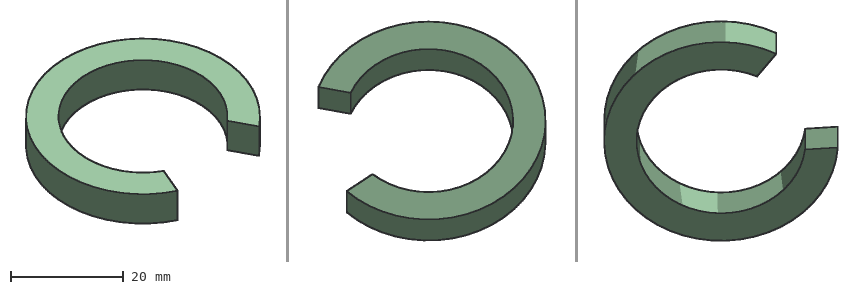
import cadquery as cq
import math

outer_radius = 20.75
inner_radius = 15.0
thickness = 7.0
outer_tip_x = 17.47
end_face_angle = 25.0

outer_tip_y = math.sqrt(outer_radius**2 - outer_tip_x**2)
end_face_slope = math.tan(math.radians(end_face_angle))
apex_x = outer_tip_x - outer_tip_y / end_face_slope

ring = cq.Workplane("XY").circle(outer_radius).circle(inner_radius).extrude(thickness)

wedge_end_x = 2 * outer_radius
wedge_half_width = (wedge_end_x - apex_x) * end_face_slope
gap_wedge = (
    cq.Workplane("XY")
    .moveTo(apex_x, 0)
    .lineTo(wedge_end_x, -wedge_half_width)
    .lineTo(wedge_end_x, wedge_half_width)
    .close()
    .extrude(thickness)
)

result = ring.cut(gap_wedge)